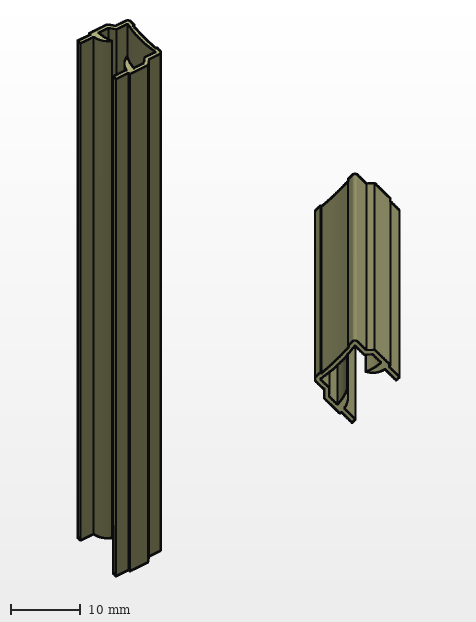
import cadquery as cq
import math

length = 100.0
width = 10.2
depth = 8.5
wall = 0.7

body_half = width / 2
leg_half = body_half - 0.3
crown_half = body_half - 0.9

shoulder_start = 2.3
shoulder_end = 3.1
inner_shoulder_drop = 0.3
crown_radius = 0.5
corner_inset = crown_radius * (1 - math.sqrt(0.5))
leg_start = 6.3

lip_width = 1.4
web_step = 0.2
web_outer_sag = 0.3
web_inner_sag = 1.0

hook_top = 5.1
hook_top_mid_half = 3.0
hook_top_mid = 4.9
hook_tip_half = 1.9
hook_tip = 4.5
hook_root = 6.2
hook_curve_half = 2.9
hook_curve = 5.7

top = depth / 2
lip_half = crown_half - lip_width


def half_wall(side):
    """Crown, side wall, hook and leg on one side of the middle plane."""

    def at(half, drop):
        return (side * half, top - drop)

    return (
        cq.Workplane("XY")
        .moveTo(*at(lip_half, 0))
        .lineTo(*at(crown_half - crown_radius, 0))
        .threePointArc(at(crown_half - corner_inset, corner_inset), at(crown_half, crown_radius))
        .lineTo(*at(crown_half, shoulder_start))
        .lineTo(*at(body_half, shoulder_end))
        .lineTo(*at(body_half, leg_start))
        .lineTo(*at(leg_half, leg_start))
        .lineTo(*at(leg_half, depth))
        .lineTo(*at(leg_half - wall, depth))
        .lineTo(*at(leg_half - wall, hook_root))
        .threePointArc(at(hook_curve_half, hook_curve), at(hook_tip_half, hook_tip))
        .threePointArc(at(hook_top_mid_half, hook_top_mid), at(body_half - wall, hook_top))
        .lineTo(*at(body_half - wall, shoulder_end + inner_shoulder_drop))
        .lineTo(*at(crown_half - wall, shoulder_start + inner_shoulder_drop))
        .lineTo(*at(crown_half - wall, wall))
        .lineTo(*at(lip_half, wall))
        .close()
        .extrude(length)
    )


def web():
    """Curved strip that joins the crowns and sags between the lips."""
    inner_half = crown_half - wall
    return (
        cq.Workplane("XY")
        .moveTo(-lip_half, top - web_step)
        .threePointArc((0, top - web_outer_sag), (lip_half, top - web_step))
        .lineTo(inner_half, top - wall)
        .threePointArc((0, top - web_inner_sag), (-inner_half, top - wall))
        .close()
        .extrude(length)
    )


result = web().union(half_wall(-1)).union(half_wall(1))